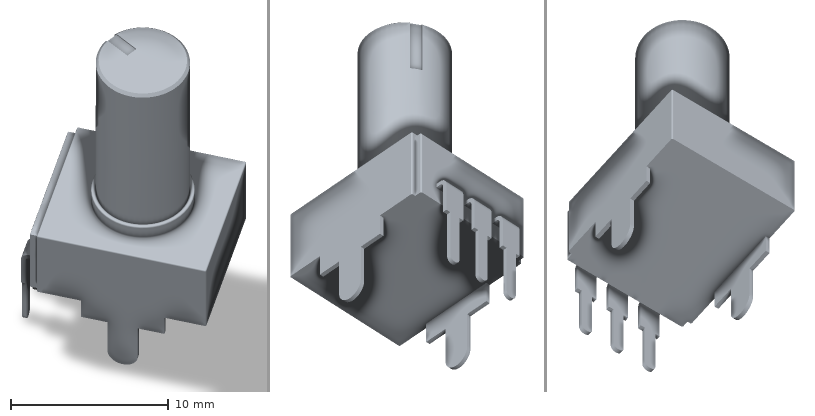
import cadquery as cq
import math

TOTAL_HEIGHT = 23.7
CASE_BOTTOM = 5.24
CASE_HEIGHT = 5.25
CASE_TOP = CASE_BOTTOM + CASE_HEIGHT

SHAFT_DIAMETER = 6.0
COLLAR_DIAMETER = 6.6
SHEET = (COLLAR_DIAMETER - SHAFT_DIAMETER) / 2

CASE_WIDTH = 9.7
CASE_FRONT_X = -5.66
CASE_BACK_X = 5.5
EDGE_RADIUS = 0.1
COLLAR_HEIGHT = 1.0

SHOULDER_WIDTH = 5.5
SHOULDER_HEIGHT = 1.55
LEG_WIDTH = 2.0

BASE_FRONT_X = -6.2
BASE_WIDTH = CASE_WIDTH - 2 * SHEET
BASE_TOP = CASE_TOP - SHEET

TERMINAL_PITCH = 2.5
TERMINAL_COUNT = 3
TERMINAL_FRONT_X = -7.15
TERMINAL_TOP = 6.68
TERMINAL_BEND_RADIUS = 0.6
BLADE_WIDTH = 1.5
BLADE_BOTTOM = 3.93
PIN_WIDTH = 0.8

UPPER_SHAFT_LENGTH = 7.0
SHAFT_SPLIT = TOTAL_HEIGHT - UPPER_SHAFT_LENGTH
SHAFT_CHAMFER = 0.2
GROOVE_ANGLE = 150.0
GROOVE_WIDTH = 0.8
GROOVE_LENGTH = 4.0
GROOVE_TOP_DEPTH = 0.1
GROOVE_INNER_RADIUS = 1.0
GROOVE_FLOOR_RADIUS = 2.82


def box_between(x_min, x_max, width, z_min, z_max):
    """Box centred on Y = 0 with its X and Z limits given."""
    plane = cq.Workplane("XY", origin=(x_min, 0, z_min))
    return plane.box(x_max - x_min, width, z_max - z_min, centered=(False, True, False))


def make_leg(side):
    """Stepped leg with a round tip, in line with one side sheet (side is -1 or +1)."""
    half_shoulder = SHOULDER_WIDTH / 2
    half_leg = LEG_WIDTH / 2
    shoulder_bottom = CASE_BOTTOM - SHOULDER_HEIGHT
    outer_y = side * CASE_WIDTH / 2
    return (
        cq.Workplane("XZ", origin=(0, outer_y, 0))
        .moveTo(-half_shoulder, CASE_BOTTOM)
        .lineTo(-half_shoulder, shoulder_bottom)
        .lineTo(-half_leg, shoulder_bottom)
        .lineTo(-half_leg, half_leg)
        .threePointArc((0, 0), (half_leg, half_leg))
        .lineTo(half_leg, shoulder_bottom)
        .lineTo(half_shoulder, shoulder_bottom)
        .lineTo(half_shoulder, CASE_BOTTOM)
        .close()
        .extrude(side * SHEET)
    )


def make_cover():
    """Sheet box, open in front and below, with a drawn collar and two legs."""
    shell = box_between(CASE_FRONT_X, CASE_BACK_X, CASE_WIDTH, CASE_BOTTOM, CASE_TOP)
    shell = shell.edges("|Z or >Z").fillet(EDGE_RADIUS)
    collar = cq.Workplane("XY", origin=(0, 0, CASE_TOP)).circle(COLLAR_DIAMETER / 2).extrude(COLLAR_HEIGHT)
    cover = shell.union(collar)
    collar_foot = cq.selectors.NearestToPointSelector((0, 0, CASE_TOP))
    cover = cover.edges(collar_foot).fillet(EDGE_RADIUS)
    cover = cover.cut(box_between(CASE_FRONT_X, CASE_BACK_X - SHEET, BASE_WIDTH, CASE_BOTTOM, BASE_TOP))
    shaft_hole = cq.Workplane("XY", origin=(0, 0, BASE_TOP)).circle(SHAFT_DIAMETER / 2)
    cover = cover.cut(shaft_hole.extrude(SHEET + COLLAR_HEIGHT))
    cover = cover.faces(">Z").edges().fillet(EDGE_RADIUS)
    for side in (-1, 1):
        cover = cover.union(make_leg(side))
    return cover


def make_base():
    """Block with rounded edges around its exposed front face, except along the bottom."""
    inner = box_between(CASE_FRONT_X, CASE_BACK_X - SHEET, BASE_WIDTH, CASE_BOTTOM, BASE_TOP)
    front = box_between(BASE_FRONT_X, CASE_FRONT_X, BASE_WIDTH, CASE_BOTTOM, BASE_TOP)
    front = front.faces("<X").edges("|Z or >Z").fillet(EDGE_RADIUS)
    return inner.union(front)


def make_terminal(y_center):
    """Strip bent down from the base, stepped to a narrow pin with a round tip."""
    outer = TERMINAL_BEND_RADIUS
    inner = outer - SHEET
    bend_x = TERMINAL_FRONT_X + outer
    bend_z = TERMINAL_TOP - outer
    diagonal = math.sqrt(0.5)
    strip = (
        cq.Workplane("XZ", origin=(0, y_center + BLADE_WIDTH / 2, 0))
        .moveTo(TERMINAL_FRONT_X, 0)
        .lineTo(TERMINAL_FRONT_X, bend_z)
        .threePointArc((bend_x - outer * diagonal, bend_z + outer * diagonal), (bend_x, TERMINAL_TOP))
        .lineTo(BASE_FRONT_X, TERMINAL_TOP)
        .lineTo(BASE_FRONT_X, TERMINAL_TOP - SHEET)
        .lineTo(bend_x, TERMINAL_TOP - SHEET)
        .threePointArc(
            (bend_x - inner * diagonal, bend_z + inner * diagonal), (TERMINAL_FRONT_X + SHEET, bend_z)
        )
        .lineTo(TERMINAL_FRONT_X + SHEET, 0)
        .close()
        .extrude(BLADE_WIDTH)
    )
    half_blade = BLADE_WIDTH / 2
    half_pin = PIN_WIDTH / 2
    outline = (
        cq.Workplane("YZ", origin=(TERMINAL_FRONT_X, y_center, 0))
        .moveTo(-half_blade, TERMINAL_TOP)
        .lineTo(-half_blade, BLADE_BOTTOM)
        .lineTo(-half_pin, BLADE_BOTTOM)
        .lineTo(-half_pin, half_pin)
        .threePointArc((0, 0), (half_pin, half_pin))
        .lineTo(half_pin, BLADE_BOTTOM)
        .lineTo(half_blade, BLADE_BOTTOM)
        .lineTo(half_blade, TERMINAL_TOP)
        .close()
        .extrude(BASE_FRONT_X - TERMINAL_FRONT_X)
    )
    return strip.intersect(outline)


def make_lower_shaft():
    """Plain cylinder that stands on the base and passes through the collar."""
    return (
        cq.Workplane("XY", origin=(0, 0, BASE_TOP)).circle(SHAFT_DIAMETER / 2).extrude(SHAFT_SPLIT - BASE_TOP)
    )


def make_upper_shaft():
    """Chamfered cylinder with a pointer groove across its top and down its side."""
    radius = SHAFT_DIAMETER / 2
    shaft = cq.Workplane("XY", origin=(0, 0, SHAFT_SPLIT)).circle(radius).extrude(UPPER_SHAFT_LENGTH)
    shaft = shaft.faces(">Z").edges().chamfer(SHAFT_CHAMFER)
    top_groove = box_between(
        GROOVE_INNER_RADIUS, radius, GROOVE_WIDTH, TOTAL_HEIGHT - GROOVE_TOP_DEPTH, TOTAL_HEIGHT
    )
    side_groove = box_between(
        GROOVE_FLOOR_RADIUS, radius, GROOVE_WIDTH, TOTAL_HEIGHT - GROOVE_LENGTH, TOTAL_HEIGHT
    )
    groove = top_groove.union(side_groove)
    return shaft.cut(groove.rotate((0, 0, 0), (0, 0, 1), GROOVE_ANGLE))


cover = make_cover()
base = make_base()
lower_shaft = make_lower_shaft()
upper_shaft = make_upper_shaft()
terminals = []
for index in range(TERMINAL_COUNT):
    terminals.append(make_terminal((index - (TERMINAL_COUNT - 1) / 2) * TERMINAL_PITCH).val())

result = cq.Compound.makeCompound(
    [cover.val(), base.val(), lower_shaft.val(), upper_shaft.val(), *terminals]
)